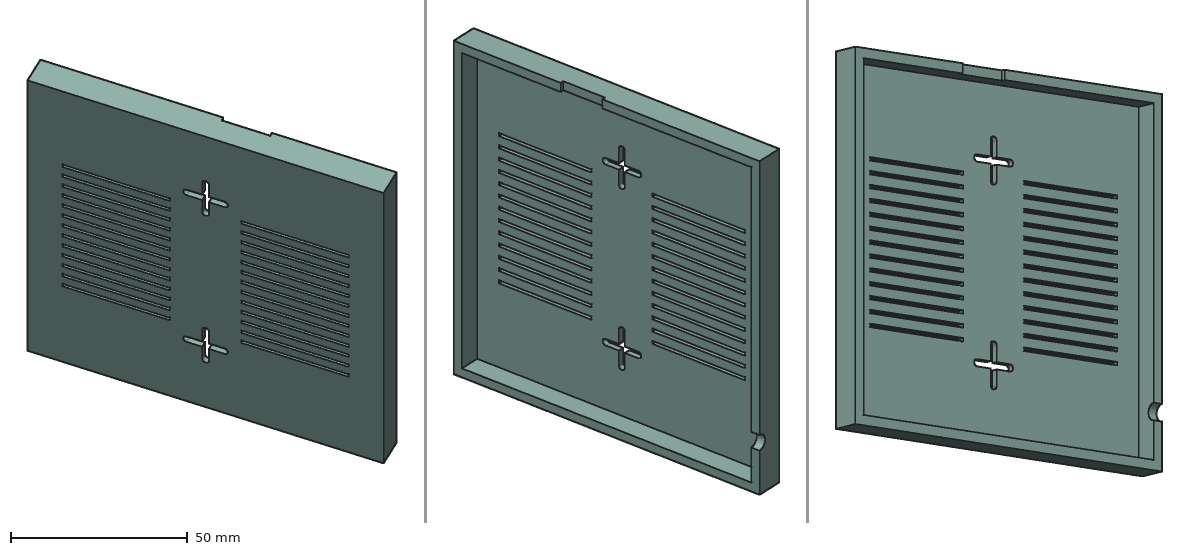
import cadquery as cq

width = 110.1
depth = 9.0
height = 108.8
panel_thickness = 2.1
rim_thickness = 3.0

slot_count = 13
slot_column_span = 48.0
slot_height = 1.0
slot_inner_x = 11.0
slot_outer_x = 44.3
slot_column_center_z = 0.5

cross_span = 13.9
cross_arm_width = 2.1
cross_offset_z = 29.5

groove_radius = 2.5
groove_height = 17.0

notch_width = 15.0
notch_depth = 1.2
notch_center_x = 9.0

back_y = depth / 2
front_y = -depth / 2


def make_shell():
    """Block hollowed from the back, leaving the front panel and the rim."""
    cavity_depth = depth - panel_thickness
    block = cq.Workplane("XY").box(width, depth, height)
    cavity = (
        cq.Workplane("XY")
        .box(width - 2 * rim_thickness, cavity_depth, height - 2 * rim_thickness)
        .translate((0, back_y - cavity_depth / 2, 0))
    )
    return block.cut(cavity)


def panel_sketch():
    """Workplane on the front face, with local axes X and Z."""
    return cq.Workplane("XZ", origin=(0, front_y, 0))


def make_vent_slots():
    slot_length = slot_outer_x - slot_inner_x
    column_x = (slot_inner_x + slot_outer_x) / 2
    slot_pitch = slot_column_span / (slot_count - 1)
    lowest_z = slot_column_center_z - slot_column_span / 2
    centers = [
        (side * column_x, lowest_z + row * slot_pitch)
        for side in (-1, 1)
        for row in range(slot_count)
    ]
    return panel_sketch().pushPoints(centers).rect(slot_length, slot_height).extrude(-panel_thickness)


def make_cross(center_z):
    """Two round-ended slots crossing at right angles."""
    center = panel_sketch().center(0, center_z)
    across = center.slot2D(cross_span, cross_arm_width).extrude(-panel_thickness)
    upright = center.slot2D(cross_span, cross_arm_width, 90).extrude(-panel_thickness)
    return across.union(upright)


def make_cable_groove():
    groove_z = -height / 2 + groove_height
    return (
        cq.Workplane("YZ", origin=(-width / 2, back_y, groove_z))
        .circle(groove_radius)
        .extrude(rim_thickness)
    )


def make_top_notch():
    center = (notch_center_x, back_y - notch_depth / 2, height / 2 - rim_thickness / 2)
    return cq.Workplane("XY").box(notch_width, notch_depth, rim_thickness).translate(center)


result = make_shell().cut(make_vent_slots())
for cross_z in (-cross_offset_z, cross_offset_z):
    result = result.cut(make_cross(cross_z))
result = result.cut(make_cable_groove()).cut(make_top_notch())